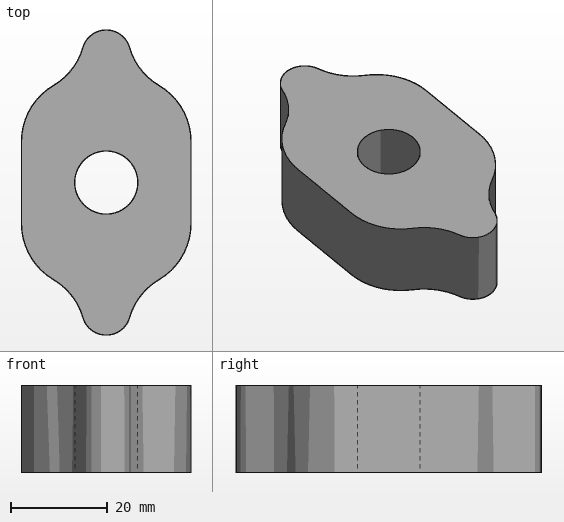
import cadquery as cq
import math

width = 35.0
length = 62.95
thickness = 18.0
bore_diameter = 13.0

flat_length = 16.9
corner_radius = 13.5
blend_radius = 13.2
tip_radius = 5.05

corner_center = cq.Vector(width / 2 - corner_radius, flat_length / 2)
tip_center = cq.Vector(0, length / 2 - tip_radius)


def tangent_blend_center():
    """Centre of the concave arc that touches both the corner and tip arcs."""
    corner_reach = corner_radius + blend_radius
    tip_reach = tip_radius + blend_radius
    span = tip_center - corner_center
    distance = span.Length
    along = (corner_reach**2 - tip_reach**2 + distance**2) / (2 * distance)
    offset = math.sqrt(corner_reach**2 - along**2)
    direction = span.normalized()
    outward = cq.Vector(direction.y, -direction.x)
    return corner_center + direction * along + outward * offset


def point_towards(center, target, radius):
    """Point on a circle in the direction of the target."""
    return center + (target - center).normalized() * radius


blend_center = tangent_blend_center()
corner_end = point_towards(corner_center, blend_center, corner_radius)
tip_start = point_towards(tip_center, blend_center, tip_radius)

corner_chord_middle = (cq.Vector(width / 2, flat_length / 2) + corner_end) * 0.5
corner_middle = point_towards(corner_center, corner_chord_middle, corner_radius)
blend_middle = point_towards(blend_center, (corner_end + tip_start) * 0.5, blend_radius)


def mirrored(point, x_sign, y_sign):
    return (x_sign * point.x, y_sign * point.y)


def add_end(outline, side):
    """Add one lobed end, starting on the X side given by side (1 is +X and +Y)."""
    return (
        outline
        .threePointArc(mirrored(corner_middle, side, side), mirrored(corner_end, side, side))
        .threePointArc(mirrored(blend_middle, side, side), mirrored(tip_start, side, side))
        .threePointArc((0, side * length / 2), mirrored(tip_start, -side, side))
        .threePointArc(mirrored(blend_middle, -side, side), mirrored(corner_end, -side, side))
        .threePointArc(
            mirrored(corner_middle, -side, side),
            (-side * width / 2, side * flat_length / 2),
        )
    )


outline = cq.Workplane("XY").moveTo(width / 2, -flat_length / 2)
outline = outline.lineTo(width / 2, flat_length / 2)
outline = add_end(outline, 1)
outline = outline.lineTo(-width / 2, -flat_length / 2)
outline = add_end(outline, -1).close()

body = outline.extrude(thickness)

result = body.faces(">Z").workplane(origin=(0, 0, thickness)).hole(bore_diameter)